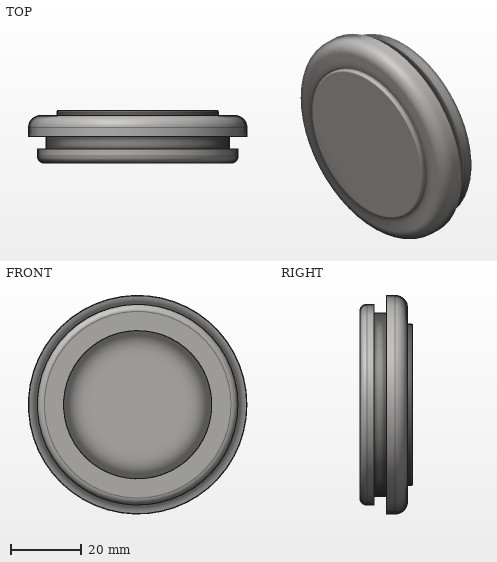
import cadquery as cq

rim_radius = 31.0
lip_radius = 28.45
groove_radius = 26.05
boss_radius = 22.9
recess_radius = 21.0

lip_width = 4.0
groove_width = 3.5
rim_width = 6.0
boss_height = 1.5
recess_depth = 12.5

lip_fillet = 2.0
rim_fillet = 3.5
boss_fillet = 0.5

lip_back = lip_width
rim_front = lip_back + groove_width
rim_back = rim_front + rim_width


def disc(radius, start, length):
    """Disc around the Y axis, growing toward +Y from the start position."""
    plane = cq.Workplane("XZ", origin=(0, start, 0))
    return plane.circle(radius).extrude(-length)


lip = disc(lip_radius, 0, lip_width).faces("<Y").edges().fillet(lip_fillet)
groove_core = disc(groove_radius, lip_back, groove_width)
rim = disc(rim_radius, rim_front, rim_width).faces(">Y").edges().fillet(rim_fillet)
boss = disc(boss_radius, rim_back, boss_height).faces(">Y").edges().fillet(boss_fillet)

recess = disc(recess_radius, 0, recess_depth)

result = lip.union(groove_core).union(rim).union(boss).cut(recess)